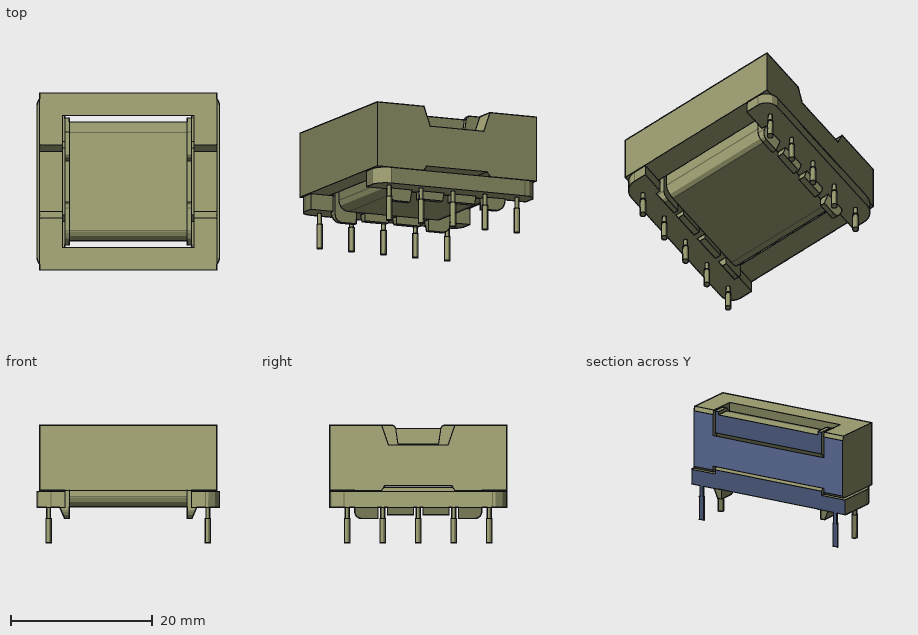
import cadquery as cq


core_size = 25.0
core_top = 11.6
core_bottom = 2.37
window_size = 18.55
top_notch_depth = 2.8
top_notch_width = 10.32
top_notch_floor_width = 8.41
bottom_notch_depth = 0.65
bottom_notch_width = 10.38
bottom_notch_roof_width = 9.45

winding_width = 16.78
winding_top = core_top - 0.46
winding_bottom = 0.05
winding_radius = 1.5

leg_width = 11.3
leg_chamfer = 0.95
leg_clearance = 0.2
leg_bottom = core_bottom + bottom_notch_depth
tunnel_width = leg_width + 2 * leg_clearance
tunnel_bottom = leg_bottom - leg_clearance
winding_thickness = tunnel_bottom - winding_bottom
tunnel_top = winding_top - winding_thickness
leg_top = tunnel_top - leg_clearance

flange_inner_x = 8.3
flange_thickness = 0.65
flange_outer_x = flange_inner_x + flange_thickness
flange_width = 17.96
flange_top = core_top
flange_top_radius = 2.01
flange_corner_chamfer = 2.01
flange_notch_depth = 2.68
flange_notch_width = 6.5
flange_notch_floor_width = 5.73
flange_notch_radius = 0.6

outer_foot_depth = 1.6
inner_foot_depth = 1.05
foot_radius = 1.05
foot_root_x = 9.68
foot_tip_x = 8.98

rail_length = core_size
rail_outer_x = 12.9
rail_height = 2.25
rail_corner_radius = 2.01

pins_per_rail = 5
pin_pitch = 5.0
pin_x = 11.23
pin_neck_diameter = 0.6
pin_diameter = 0.8
pin_neck_length = 1.57
pin_length = 5.0
wire_slot_width = 1.32

pin_rows = [(i - (pins_per_rail - 1) / 2) * pin_pitch for i in range(pins_per_rail)]
inner_pin_rows = pin_rows[1:-1]


def block(x_min, x_max, width, z_min, z_max):
    """Box centred on Y = 0."""
    size_x = x_max - x_min
    size_z = z_max - z_min
    centre = ((x_min + x_max) / 2, 0, (z_min + z_max) / 2)
    return cq.Workplane("XY").box(size_x, width, size_z).translate(centre)


def trapezoid_prism(x_min, x_max, z_first, half_first, z_second, half_second):
    """Prism along X whose YZ section narrows or widens between two heights."""
    corners = [
        (-half_first, z_first),
        (half_first, z_first),
        (half_second, z_second),
        (-half_second, z_second),
    ]
    return cq.Workplane("YZ", origin=(x_min, 0, 0)).polyline(corners).close().extrude(x_max - x_min)


def make_core():
    half = core_size / 2
    frame = block(-half, half, core_size, core_bottom, core_top)
    frame = frame.cut(block(-window_size / 2, window_size / 2, window_size, core_bottom, core_top))
    top_notch = trapezoid_prism(
        -half, half,
        core_top, top_notch_width / 2,
        core_top - top_notch_depth, top_notch_floor_width / 2,
    )
    bottom_notch = trapezoid_prism(
        -half, half,
        core_bottom, bottom_notch_width / 2,
        core_bottom + bottom_notch_depth, bottom_notch_roof_width / 2,
    )
    leg = block(-window_size / 2, window_size / 2, leg_width, leg_bottom, leg_top)
    leg = leg.edges("|X").chamfer(leg_chamfer)
    return frame.cut(top_notch).cut(bottom_notch).union(leg)


def make_winding():
    winding = block(-flange_inner_x, flange_inner_x, winding_width, winding_bottom, winding_top)
    return winding.edges("|X").fillet(winding_radius)


def make_tunnel():
    tunnel = block(-rail_outer_x, rail_outer_x, tunnel_width, tunnel_bottom, tunnel_top)
    return tunnel.edges("|X").chamfer(leg_chamfer)


def make_flange(straight_corner):
    """Flange at the +X end with its feet; its +Y top corner is rounded or cut straight."""
    outline = block(flange_inner_x, foot_root_x, flange_width, -outer_foot_depth, flange_top)
    notch = trapezoid_prism(
        flange_inner_x, foot_root_x,
        flange_top, flange_notch_width / 2,
        flange_top - flange_notch_depth, flange_notch_floor_width / 2,
    )
    outline = outline.cut(notch)
    outline = outline.edges("|X and >Z and (not >Y) and (not <Y)").fillet(flange_notch_radius)

    outline = outline.edges("|X and <Z").fillet(foot_radius)
    outline = outline.edges("|X and >Z").edges("<Y").fillet(flange_top_radius)
    back_top_corner = outline.edges("|X and >Z").edges(">Y")
    if straight_corner:
        outline = back_top_corner.chamfer(flange_corner_chamfer)
    else:
        outline = back_top_corner.fillet(flange_top_radius)

    inner_feet_span = inner_pin_rows[-1] - inner_pin_rows[0]
    inner_feet_relief = block(
        flange_inner_x, foot_root_x, inner_feet_span, -outer_foot_depth, -inner_foot_depth
    )
    outline = outline.cut(inner_feet_relief)
    for y in inner_pin_rows:
        wire_slot = block(flange_inner_x, foot_root_x, wire_slot_width, -outer_foot_depth, 0)
        outline = outline.cut(wire_slot.translate((0, y, 0)))

    side_profile = [
        (flange_inner_x, -outer_foot_depth),
        (foot_tip_x, -outer_foot_depth),
        (foot_root_x, 0),
        (flange_outer_x, 0),
        (flange_outer_x, flange_top),
        (flange_inner_x, flange_top),
    ]
    side = cq.Workplane("XZ").polyline(side_profile).close().extrude(flange_width / 2, both=True)
    return outline.intersect(side)


def make_rail():
    """Pin rail at the +X end, rounded at its outer corners."""
    rail = block(flange_outer_x, rail_outer_x, rail_length, 0, rail_height)
    return rail.edges("|Z and >X").fillet(rail_corner_radius)


def make_pin(y):
    """Pin of the +X rail, with a thinner neck below the rail."""
    neck = (
        cq.Workplane("XY", origin=(pin_x, y, 0))
        .circle(pin_neck_diameter / 2)
        .extrude(-pin_neck_length)
    )
    post = (
        cq.Workplane("XY", origin=(pin_x, y, -pin_neck_length))
        .circle(pin_diameter / 2)
        .extrude(pin_neck_length - pin_length)
    )
    return neck.union(post)


def make_end(straight_corner):
    """Flange, rail and pins at the +X end."""
    end = make_flange(straight_corner).union(make_rail())
    for y in pin_rows:
        end = end.union(make_pin(y))
    return end


def make_coil_former():
    right_end = make_end(straight_corner=False)
    left_end = make_end(straight_corner=True).mirror("YZ")
    return make_winding().union(right_end).union(left_end).cut(make_tunnel())


core = make_core()
coil_former = make_coil_former()

result = cq.Compound.makeCompound([core.solids().val(), coil_former.solids().val()])